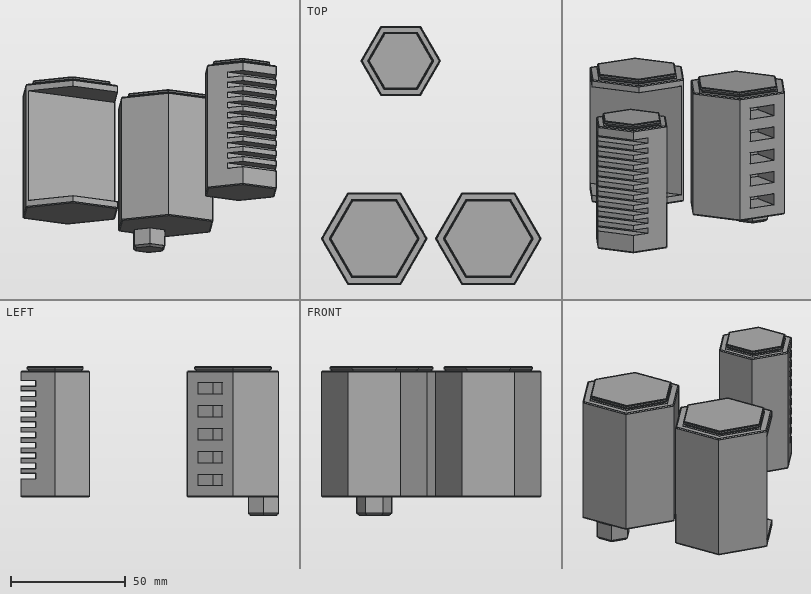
import cadquery as cq
import math

OVERALL_DEPTH = 112.6
FRONT_TOWER_SPACING = 49.8

LARGE_FLATS = 40.0
SMALL_FLATS = 30.1
TOWER_HEIGHT = 55.0
TOWER_EDGE_CHAMFER = 0.5

LARGE_SEAT_FLATS = 34.0
SMALL_SEAT_FLATS = 25.0
SEAT_DEPTH = 2.0
LID_HEIGHT = 2.0
LID_CLEARANCE = 0.28
LID_TOP_CHAMFER = 0.3
LID_UNDERCUT = 1.0

POCKET_COUNT = 5
POCKET_PITCH = 10.0
POCKET_WIDTH = 12.0
POCKET_HEIGHT = 5.0
POCKET_DEPTH = 13.1
POCKET_FACE_ANGLE = 150

BAY_FLANGE = 3.0
BAY_FLOOR_Y = 1.0

SLOT_COUNT = 10
SLOT_PITCH = 4.5
SLOT_HEIGHT = 2.4
SLOT_DEPTH = 6.5
FIRST_SLOT_Z = 9.1

FOOT_FLATS = 13.3
FOOT_HEIGHT = 8.0
FOOT_CHAMFER = 1.0


def across_corners(flats):
    return flats / math.cos(math.radians(30))


def hexagon(flats, z=0):
    """Hexagon outline with corners on the X axis and flats facing +Y and -Y."""
    return cq.Workplane("XY").workplane(offset=z).polygon(6, across_corners(flats))


def make_seat(flats):
    """Hexagonal block that fills the recess in the top of a tower."""
    return hexagon(flats, TOWER_HEIGHT - SEAT_DEPTH).extrude(SEAT_DEPTH)


def make_tower(flats, seat_flats):
    tower = hexagon(flats).extrude(TOWER_HEIGHT)
    tower = tower.faces("<Z or >Z").chamfer(TOWER_EDGE_CHAMFER)
    return tower.cut(make_seat(seat_flats))


def make_lid(seat_flats):
    """Lid with a base flush in the tower top and a lip undercut down to it."""
    lip = hexagon(seat_flats - 2 * LID_CLEARANCE, TOWER_HEIGHT).extrude(LID_HEIGHT)
    lip = lip.faces(">Z").chamfer(LID_TOP_CHAMFER).faces("<Z").chamfer(LID_UNDERCUT)
    return lip.union(make_seat(seat_flats))


def cut_pockets(tower):
    """Blind pockets, square to the slanted face, centred on the tower height."""
    apothem = LARGE_FLATS / 2
    middle = (POCKET_COUNT - 1) / 2
    for i in range(POCKET_COUNT):
        z = TOWER_HEIGHT / 2 + (i - middle) * POCKET_PITCH
        pocket = (
            cq.Workplane("XY")
            .box(POCKET_DEPTH, POCKET_WIDTH, POCKET_HEIGHT)
            .translate((apothem - POCKET_DEPTH / 2, 0, z))
            .rotate((0, 0, 0), (0, 0, 1), POCKET_FACE_ANGLE)
        )
        tower = tower.cut(pocket)
    return tower


def cut_bay(tower):
    """Bay open to the back and to both sides."""
    back = LARGE_FLATS / 2
    bay_length = across_corners(LARGE_FLATS)
    bay_depth = back - BAY_FLOOR_Y
    bay_height = TOWER_HEIGHT - 2 * BAY_FLANGE
    bay = (
        cq.Workplane("XY")
        .box(bay_length, bay_depth, bay_height)
        .translate((0, back - bay_depth / 2, TOWER_HEIGHT / 2))
    )
    return tower.cut(bay)


def cut_slots(tower):
    """Slots open to the back and to both sides."""
    back = SMALL_FLATS / 2
    slot_length = across_corners(SMALL_FLATS)
    for i in range(SLOT_COUNT):
        z = FIRST_SLOT_Z + i * SLOT_PITCH
        slot = (
            cq.Workplane("XY")
            .box(slot_length, SLOT_DEPTH, SLOT_HEIGHT)
            .translate((0, back - SLOT_DEPTH / 2, z))
        )
        tower = tower.cut(slot)
    return tower


def make_foot():
    foot = hexagon(FOOT_FLATS).extrude(-FOOT_HEIGHT)
    return foot.faces("<Z").chamfer(FOOT_CHAMFER)


left_place = (0, 0, 0)
right_place = (FRONT_TOWER_SPACING, 0, 0)
rear_place = (
    across_corners(LARGE_FLATS) / 4,
    OVERALL_DEPTH - LARGE_FLATS / 2 - SMALL_FLATS / 2,
    0,
)
foot_place = (0, (FOOT_FLATS - LARGE_FLATS) / 2, 0)

pocket_tower = cut_pockets(make_tower(LARGE_FLATS, LARGE_SEAT_FLATS)).translate(left_place)
bay_tower = cut_bay(make_tower(LARGE_FLATS, LARGE_SEAT_FLATS)).translate(right_place)
slotted_tower = cut_slots(make_tower(SMALL_FLATS, SMALL_SEAT_FLATS)).translate(rear_place)
large_lids = [make_lid(LARGE_SEAT_FLATS).translate(place) for place in (left_place, right_place)]
small_lid = make_lid(SMALL_SEAT_FLATS).translate(rear_place)
foot = make_foot().translate(foot_place)

result = cq.Compound.makeCompound([
    pocket_tower.val(),
    bay_tower.val(),
    slotted_tower.val(),
    *[lid.val() for lid in large_lids],
    small_lid.val(),
    foot.val(),
])